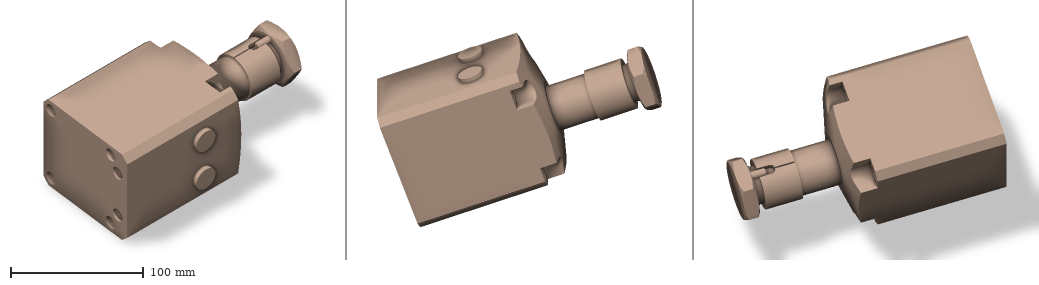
import cadquery as cq
import math


housing_left = -43.0
housing_right = 53.0
housing_height = 86.0
crown_y = 123.0
crown_flat_radius = 23.5
crown_slope = math.radians(15)
edge_chamfer = 6.0

bolt_offset = 34.0
bolt_hole_diameter = 11.0
bolt_seat_diameter = 17.0
bolt_seat_y = 102.7

port_x = 42.0
port_z = 21.0
port_diameter = 11.0
port_depth = 2.0
plug_y = 76.0
plug_z = 19.0
plug_diameter = 19.0
plug_height = 4.0

rod_diameter = 35.5
collar_diameter = 40.0
collar_start_y = 154.5
collar_end_y = 183.6
slot_width = 7.6
slot_center_y = 174.0
slit_width = 1.3

knob_end_y = 201.5
head_thickness = 12.0
head_across_flats = 46.0
head_end_diameter = 46.0
head_base_diameter = 44.0
head_chamfer_angle = math.radians(30)
shank_diameter = 29.6
shoulder_diameter = 31.0
shoulder_start_y = 187.0
shoulder_end_y = 188.6
dimple_diameter = 4.8
dimple_y = 177.0

pin_diameter = 6.0
pin_axis_z = 18.0
pin_end_y = 177.4
pin_chamfer = 1.1

head_base_y = knob_end_y - head_thickness
rod_end_y = slot_center_y - slot_width / 2


def y_cylinder(diameter, start_y, end_y, x=0.0, z=0.0):
    """Solid cylinder parallel to Y."""
    disc = cq.Workplane("XZ", origin=(x, start_y, z)).circle(diameter / 2)
    return disc.extrude(start_y - end_y)


def box_between(x_range, y_range, z_range):
    """Box given by its limits along X, Y and Z."""
    sizes = [high - low for low, high in (x_range, y_range, z_range)]
    corner = (x_range[0], y_range[0], z_range[0])
    return cq.Workplane("XY").box(*sizes, centered=False).translate(corner)


def make_crown_limit():
    """Turned envelope whose cone shapes the +Y end of the housing."""
    rim_radius = math.hypot(housing_right, housing_height / 2)
    rim_y = crown_y - (rim_radius - crown_flat_radius) * math.tan(crown_slope)
    profile = [
        (0, 0),
        (rim_radius, 0),
        (rim_radius, rim_y),
        (crown_flat_radius, crown_y),
        (0, crown_y),
    ]
    return cq.Workplane("XY").polyline(profile).close().revolve(360, (0, 0), (0, 1))


def make_bolt_cut(x_side, z_side):
    """Through hole with a seat open to the nearest Z side, and to -X on the left."""
    x = x_side * bolt_offset
    z = z_side * bolt_offset
    seat_radius = bolt_seat_diameter / 2
    z_range = sorted((z, z_side * housing_height / 2))
    seat_y = (bolt_seat_y, crown_y)
    cut = y_cylinder(bolt_hole_diameter, 0, crown_y, x, z)
    cut = cut.union(y_cylinder(bolt_seat_diameter, *seat_y, x, z))
    cut = cut.union(box_between((x - seat_radius, x + seat_radius), seat_y, z_range))
    if x_side < 0:
        inner_z = z - z_side * seat_radius
        side_z = sorted((inner_z, z_side * housing_height / 2))
        cut = cut.union(box_between((housing_left, x), seat_y, side_z))
    return cut


def make_housing():
    half_height = housing_height / 2
    body = box_between((housing_left, housing_right), (0, crown_y), (-half_height, half_height))
    body = body.edges("|Y").chamfer(edge_chamfer)
    body = body.intersect(make_crown_limit())
    for z_side in (-1, 1):
        for x_side in (-1, 1):
            body = body.cut(make_bolt_cut(x_side, z_side))
        body = body.cut(y_cylinder(port_diameter, 0, port_depth, port_x, z_side * port_z))
    return body


def make_plug(z):
    """Flat round plug resting on the +X side of the housing."""
    disc = cq.Workplane("YZ", origin=(housing_right, plug_y, z)).circle(plug_diameter / 2)
    return disc.extrude(plug_height)


def make_rod():
    return y_cylinder(rod_diameter, crown_y, rod_end_y)


def make_collar():
    """Clamp collar around the rod end and the knob shank, slotted for the pin and split."""
    body = y_cylinder(collar_diameter, collar_start_y, collar_end_y)
    body = body.cut(y_cylinder(rod_diameter, collar_start_y, rod_end_y))
    body = body.cut(y_cylinder(shank_diameter, rod_end_y, collar_end_y))
    half_slot = slot_width / 2
    slot_z = (0, collar_diameter)
    slot = box_between((-half_slot, half_slot), (slot_center_y, collar_end_y), slot_z)
    slot_end = cq.Workplane("XY").center(0, slot_center_y).circle(half_slot).extrude(collar_diameter)
    slit = box_between((-slit_width / 2, slit_width / 2), (collar_start_y, slot_center_y), slot_z)
    return body.cut(slot).cut(slot_end).cut(slit)


def make_knob():
    """Hexagonal head, chamfered on both faces, with a grooved shoulder, a shank and a conical dimple."""
    corner_radius = head_across_flats / math.sqrt(3)
    base_radius = head_base_diameter / 2
    end_radius = head_end_diameter / 2
    base_drop = (corner_radius - base_radius) * math.tan(head_chamfer_angle)
    end_drop = (corner_radius - end_radius) * math.tan(head_chamfer_angle)
    head = cq.Workplane("XZ", origin=(0, head_base_y, 0)).polygon(6, 2 * corner_radius)
    head = head.extrude(-head_thickness)
    profile = [
        (0, head_base_y),
        (base_radius, head_base_y),
        (corner_radius, head_base_y + base_drop),
        (corner_radius, knob_end_y - end_drop),
        (end_radius, knob_end_y),
        (0, knob_end_y),
    ]
    head = head.intersect(cq.Workplane("XY").polyline(profile).close().revolve(360, (0, 0), (0, 1)))
    shoulder = y_cylinder(shoulder_diameter, shoulder_start_y, shoulder_end_y)
    shank = y_cylinder(shank_diameter, rod_end_y, head_base_y)
    dimple_radius = dimple_diameter / 2
    dimple = cq.Solid.makeCone(
        0, dimple_radius, dimple_radius,
        pnt=cq.Vector(0, dimple_y, shank_diameter / 2 - dimple_radius), dir=cq.Vector(0, 0, 1))
    pin_groove = y_cylinder(pin_diameter, shoulder_start_y, shoulder_end_y, z=pin_axis_z)
    return head.union(shoulder.cut(pin_groove)).union(shank).cut(cq.Workplane(dimple))


def make_pin():
    """Pin standing on the base of the knob head, chamfered at its free end."""
    pin = y_cylinder(pin_diameter, pin_end_y, head_base_y, z=pin_axis_z)
    return pin.faces("<Y").chamfer(pin_chamfer)


housing = make_housing()
plugs = [make_plug(z) for z in (-plug_z, plug_z)]
rod = make_rod()
collar = make_collar()
knob = make_knob()
pin = make_pin()

result = cq.Compound.makeCompound([
    housing.val(),
    *[plug.val() for plug in plugs],
    rod.val(),
    collar.val(),
    knob.val(),
    pin.val(),
])